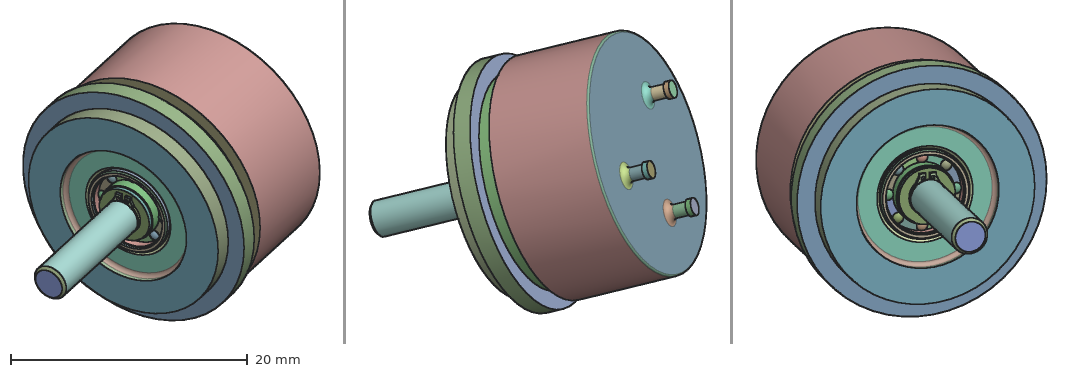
import cadquery as cq
import math


total_length = 28.4
shaft_length = 11.7
terminal_length = 2.41
housing_length = total_length - shaft_length - terminal_length

flange_radius = 11.1
body_radius = 10.68
pilot_radius = 9.52
step_width = 1.6
body_edge_round = 0.17

recess_radius = 6.34
recess_depth = 0.77
recess_corner_round = 0.37
seat_radius = 3.98
seat_chamfer = 0.28

inner_ring_depth = 0.15
inner_ring_extension = 0.4
outer_ring_depth = inner_ring_depth + inner_ring_extension
outer_ring_chamfer = 0.15
race_floor_depth = 1.53
outer_land_radius = 3.55
outer_shoulder_radius = 3.45
outer_land_width = 0.25
inner_shoulder_radius = 2.6
inner_land_radius = 2.5
ball_count = 8
ball_radius = 0.57
ball_sink = 0.28
ball_centre_depth = race_floor_depth + ball_sink
ball_circle_radius = (inner_shoulder_radius + outer_shoulder_radius) / 2

shaft_radius = 1.6
shaft_chamfer = 0.25
groove_radius = 1.48
groove_end = 0.23

clip_radius = 1.62
clip_protrusion = 0.1
ear_top = 2.1
ear_half_width = 0.75
ear_root_half_width = 1.02
ear_root_height = 1.3
ear_shoulder_height = 1.85
ear_gap = 0.4
ear_hole_radius = 0.17
ear_hole_offset = 0.43
ear_hole_height = 1.68

terminal_circle_radius = 5.5
terminal_angles = (90, 225, 315)
terminal_head_radius = 0.77
terminal_head_length = 0.5
terminal_shank_radius = 0.6
terminal_root_round = 0.6


def revolve_about_axis(profile):
    """Turn a profile of (radius, Y) points about the Y axis."""
    return profile.close().revolve(360, (0, 0, 0), (0, 1, 0))


def disc(radius, start, end):
    """Cylinder on the Y axis between two Y positions."""
    return cq.Workplane("XZ", origin=(0, end, 0)).circle(radius).extrude(end - start)


def make_housing():
    flange_front = step_width
    flange_back = 2 * step_width
    body_front = 3 * step_width
    body = disc(body_radius, body_front, housing_length).faces(">Y").edges().fillet(body_edge_round)
    pilot = disc(pilot_radius, 0, body_front)
    flange = disc(flange_radius, flange_front, flange_back)
    return body.union(pilot).union(flange)


def make_front_recess():
    """Space in front of the recess floor and of the two bearing rings."""
    corner_arc_offset = recess_corner_round * (1 - math.sqrt(0.5))
    outer_land_end = outer_ring_depth + outer_land_width
    return revolve_about_axis(
        cq.Workplane("XY")
        .moveTo(0, 0)
        .lineTo(recess_radius, 0)
        .lineTo(recess_radius, recess_depth - recess_corner_round)
        .threePointArc(
            (recess_radius - corner_arc_offset, recess_depth - corner_arc_offset),
            (recess_radius - recess_corner_round, recess_depth),
        )
        .lineTo(seat_radius + seat_chamfer, recess_depth)
        .lineTo(seat_radius, recess_depth + seat_chamfer)
        .lineTo(seat_radius, outer_ring_depth + outer_ring_chamfer)
        .lineTo(seat_radius - outer_ring_chamfer, outer_ring_depth)
        .lineTo(outer_land_radius, outer_ring_depth)
        .lineTo(outer_land_radius, outer_land_end)
        .lineTo(outer_shoulder_radius, outer_land_end)
        .lineTo(outer_shoulder_radius, race_floor_depth)
        .lineTo(inner_shoulder_radius, race_floor_depth)
        .lineTo(inner_shoulder_radius, outer_ring_depth)
        .lineTo(inner_land_radius, outer_ring_depth)
        .lineTo(inner_land_radius, inner_ring_depth)
        .lineTo(0, inner_ring_depth)
    )


def make_ball(index):
    angle = math.radians(index * 360 / ball_count)
    x = ball_circle_radius * math.cos(angle)
    z = ball_circle_radius * math.sin(angle)
    ball = revolve_about_axis(
        cq.Workplane("XY")
        .moveTo(0, -ball_radius)
        .threePointArc((ball_radius, 0), (0, ball_radius))
    )
    return ball.translate((x, ball_centre_depth, z))


def make_shaft():
    shaft = disc(shaft_radius, -shaft_length, -groove_end).faces("<Y").edges().chamfer(shaft_chamfer)
    return shaft.union(disc(groove_radius, -groove_end, inner_ring_depth))


def make_clip():
    back = inner_ring_depth
    thickness = clip_protrusion + inner_ring_depth
    ring = disc(clip_radius, -clip_protrusion, back)
    plane = cq.Workplane("XZ", origin=(0, back, 0))
    ears = (
        plane.polyline([
            (-ear_root_half_width, ear_root_height),
            (ear_root_half_width, ear_root_height),
            (ear_half_width, ear_shoulder_height),
            (ear_half_width, ear_top),
            (-ear_half_width, ear_top),
            (-ear_half_width, ear_shoulder_height),
        ])
        .close()
        .extrude(thickness)
    )
    gap = plane.center(0, ear_top).rect(ear_gap, 2 * (ear_top - groove_radius)).extrude(thickness)
    holes = (
        plane.pushPoints([(-ear_hole_offset, ear_hole_height), (ear_hole_offset, ear_hole_height)])
        .circle(ear_hole_radius)
        .extrude(thickness)
    )
    return ring.union(ears).cut(gap).cut(holes)


def make_terminal(angle_degrees):
    angle = math.radians(angle_degrees)
    x = terminal_circle_radius * math.cos(angle)
    z = terminal_circle_radius * math.sin(angle)
    root_radius = terminal_shank_radius + terminal_root_round
    arc_offset = terminal_root_round * (1 - math.sqrt(0.5))
    head_start = terminal_length - terminal_head_length
    terminal = revolve_about_axis(
        cq.Workplane("XY")
        .moveTo(0, 0)
        .lineTo(root_radius, 0)
        .threePointArc(
            (terminal_shank_radius + arc_offset, arc_offset),
            (terminal_shank_radius, terminal_root_round),
        )
        .lineTo(terminal_shank_radius, head_start)
        .lineTo(terminal_head_radius, head_start)
        .lineTo(terminal_head_radius, terminal_length)
        .lineTo(0, terminal_length)
    )
    return terminal.translate((x, housing_length, z))


result = make_housing().cut(make_front_recess())
for ball_index in range(ball_count):
    result = result.union(make_ball(ball_index))
result = result.union(make_shaft()).union(make_clip())
for terminal_angle in terminal_angles:
    result = result.union(make_terminal(terminal_angle))